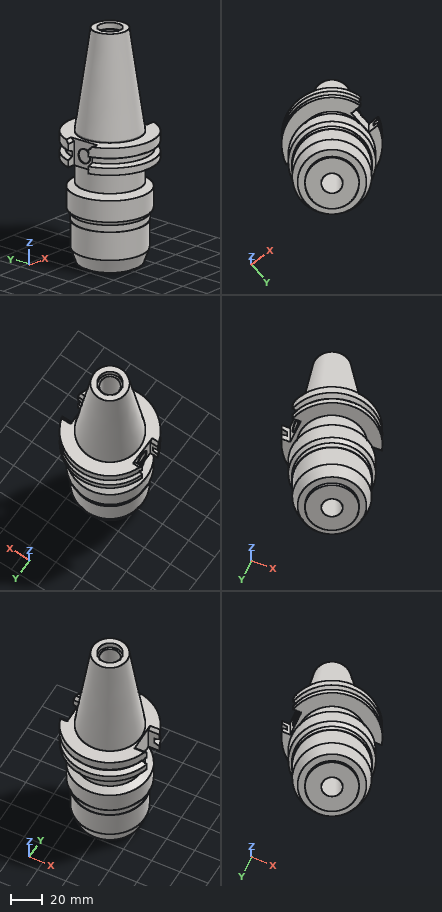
import cadquery as cq

total_height = 159.2
taper_length = 68.5
gauge_z = total_height - taper_length
gauge_land_height = 1.0
flange_top_z = gauge_z - gauge_land_height
flange_height = 18.1
flange_bottom_z = flange_top_z - flange_height

gauge_radius = 22.3
taper_ratio = 7 / 48
taper_end_radius = gauge_radius - taper_length * taper_ratio
flange_diameter = 63.5
flange_radius = flange_diameter / 2
groove_radius = 28.2
upper_rim_height = 6.7
groove_width = 6.7
groove_top_z = flange_top_z - upper_rim_height
groove_bottom_z = groove_top_z - groove_width
groove_flank_height = 1.6

collar_radius = 27.5
collar_upper_z = 55.7
collar_lower_z = 35.6
collar_bevel_height = 2.9
band_radius = 25.3
band_bottom_z = 30.9
sleeve_radius = 25.0
nose_cone_top_z = 12.0
nose_cone_radius = 21.6
nose_radius = 17.0
nose_height = 2.4

bore_radius = 6.7
counterbore_radius = 8.1
counterbore_depth = 4.1

slot_width = 16.7
slot_chamfer = 2.2
left_slot_floor = 25.0
right_slot_floor = 22.9
dimple_radius = 4.8
dimple_z = 79.5
dimple_depth = 0.5


def turned_body():
    profile = [
        (0, 0),
        (nose_radius, 0),
        (nose_radius, nose_height),
        (nose_cone_radius, nose_height),
        (sleeve_radius, nose_cone_top_z),
        (sleeve_radius, band_bottom_z),
        (band_radius, band_bottom_z),
        (band_radius, collar_lower_z),
        (collar_radius, collar_lower_z + collar_bevel_height),
        (collar_radius, collar_upper_z - collar_bevel_height),
        (gauge_radius, collar_upper_z),
        (gauge_radius, flange_bottom_z),
        (flange_radius, flange_bottom_z),
        (flange_radius, groove_bottom_z),
        (groove_radius, groove_bottom_z + groove_flank_height),
        (groove_radius, groove_top_z - groove_flank_height),
        (flange_radius, groove_top_z),
        (flange_radius, flange_top_z),
        (gauge_radius, flange_top_z),
        (gauge_radius, gauge_z),
        (taper_end_radius, total_height),
        (0, total_height),
    ]
    section = cq.Workplane("XZ").polyline(profile).close()
    return section.revolve(360, (0, 0, 0), (0, 1, 0))


def stepped_bore():
    bore = cq.Workplane("XY").circle(bore_radius).extrude(total_height)
    counterbore = (
        cq.Workplane("XY", origin=(0, 0, total_height - counterbore_depth))
        .circle(counterbore_radius)
        .extrude(counterbore_depth)
    )
    return bore.union(counterbore)


def drive_slot(side, floor):
    """Slot through the flange height, flared at the top; side is -1 or +1 along X."""
    half = slot_width / 2
    flared_half = half + slot_chamfer
    outline = [
        (-half, flange_bottom_z),
        (half, flange_bottom_z),
        (half, flange_top_z - slot_chamfer),
        (flared_half, flange_top_z),
        (-flared_half, flange_top_z),
        (-half, flange_top_z - slot_chamfer),
    ]
    slot_depth = flange_radius - floor
    return (
        cq.Workplane("YZ", origin=(side * floor, 0, 0))
        .polyline(outline)
        .close()
        .extrude(side * slot_depth)
    )


def slot_dimple():
    """Shallow round recess in the floor of the -X slot."""
    return (
        cq.Workplane("YZ", origin=(-left_slot_floor, 0, dimple_z))
        .circle(dimple_radius)
        .extrude(dimple_depth)
    )


result = (
    turned_body()
    .cut(stepped_bore())
    .cut(drive_slot(-1, left_slot_floor))
    .cut(drive_slot(1, right_slot_floor))
    .cut(slot_dimple())
)